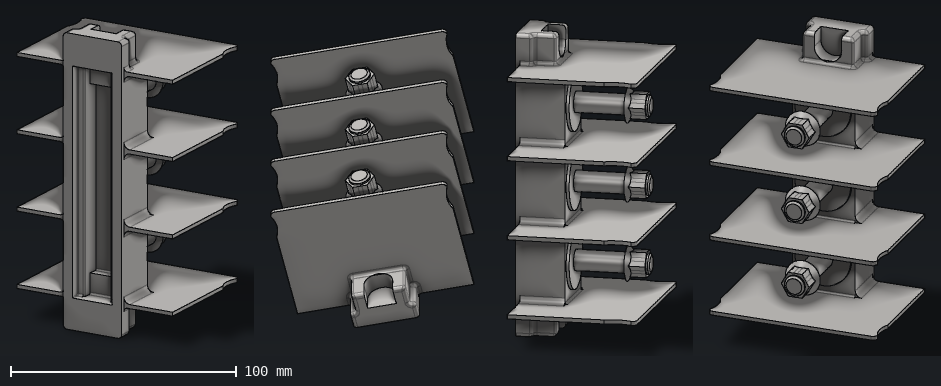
import cadquery as cq
import math


bar_length = 138.2
bar_width = 30.0
body_depth = 22.7
end_round = 2.0

plate_count = 4
plate_span = 108.1
plate_thickness = 2.0
plate_width = 80.0
plate_front = 2.1
plate_rear = 60.8
notch_start = 46.3
waist_y = 52.9
waist_width = 77.1
plate_corner_round = 2.2
side_web_radius = 3.0
rear_web_radius = 1.0
lug_web_radius = 1.8

lug_depth = 17.8
shoulder_y = 6.4
shoulder_radius = 1.4
lug_corner_radius = 1.0
slot_width = 13.0
slot_floor_y = 9.8
slot_center_inset = 6.5

pocket_width = 20.3
pocket_length = plate_span
pocket_depth = 4.4
pocket_end_round = 1.0
pocket_side_round = 0.4
channel_width = 13.0
channel_depth = 8.7
channel_lip_round = 0.8
deep_length = 88.2
deep_depth = 13.5
deep_width = 12.0
deep_round = 0.8

disc_radius = 13.3
disc_thickness = 1.4
shank_radius = 4.8
tip_radius = 3.7
tip_chamfer_y = 57.8
tip_y = 58.5
washer_y = 47.8
washer_radius = 8.3
washer_top_y = 50.2
nut_end_y = 57.0
nut_across_flats = 11.5
nut_collar_radius = 5.8

half_length = bar_length / 2
half_width = bar_width / 2
half_plate = plate_thickness / 2
margin = 0.1
outer_plate_z = plate_span / 2
plate_pitch = plate_span / (plate_count - 1)
plate_heights = [i * plate_pitch - outer_plate_z for i in range(plate_count)]
bolt_heights = [z + plate_pitch / 2 for z in plate_heights[:-1]]
lug_half_width = half_width - 2 * shoulder_radius


def block(width, y_start, y_end, z_start, z_end):
    """Box centred on X between the given Y and Z limits."""
    return (
        cq.Workplane("XY")
        .box(width, y_end - y_start, z_end - z_start, centered=(True, False, False))
        .translate((0, y_start, z_start))
    )


def make_plate(z, front):
    """Barrier plate with a waist near its rear corners, centred on height z."""
    half = plate_width / 2
    corner = plate_corner_round
    head_y = plate_rear - corner
    waist = waist_width / 2
    outline = (
        cq.Workplane("XY")
        .moveTo(-half, front)
        .lineTo(half, front)
        .lineTo(half, notch_start)
        .threePointArc((waist, waist_y), (half, head_y))
        .radiusArc((half - corner, plate_rear), -corner)
        .lineTo(corner - half, plate_rear)
        .radiusArc((-half, head_y), -corner)
        .threePointArc((-waist, waist_y), (-half, notch_start))
        .close()
    )
    return outline.extrude(plate_thickness).translate((0, 0, z - half_plate))


def lug_edges_at(z):
    """Selects the lug contour at height z, except its straight front edge."""
    return cq.selectors.BoxSelector(
        (-half_width - margin, margin, z - margin),
        (half_width + margin, lug_depth + margin, z + margin),
    )


def make_lug():
    """Upper end of the bar with its outer plate, fillets and open slot."""
    r = shoulder_radius
    c = lug_corner_radius
    profile = (
        cq.Workplane("XY")
        .moveTo(-half_width, 0)
        .lineTo(half_width, 0)
        .lineTo(half_width, shoulder_y)
        .radiusArc((half_width - r, shoulder_y + r), -r)
        .radiusArc((lug_half_width, shoulder_y + 2 * r), r)
        .lineTo(lug_half_width, lug_depth - c)
        .radiusArc((lug_half_width - c, lug_depth), -c)
        .lineTo(c - lug_half_width, lug_depth)
        .radiusArc((-lug_half_width, lug_depth - c), -c)
        .lineTo(-lug_half_width, shoulder_y + 2 * r)
        .radiusArc((r - half_width, shoulder_y + r), r)
        .radiusArc((-half_width, shoulder_y), -r)
        .close()
    )
    lug = profile.extrude(half_length - outer_plate_z).translate((0, 0, outer_plate_z))
    plate_top = outer_plate_z + half_plate
    lug = lug.union(make_plate(outer_plate_z, 0))
    lug = lug.edges(lug_edges_at(plate_top)).fillet(lug_web_radius)
    lug = lug.edges(lug_edges_at(half_length)).fillet(end_round)

    strip = block(plate_width, 0, plate_front, outer_plate_z - half_plate, half_length)
    lug = lug.cut(strip.cut(block(bar_width, 0, plate_front, 0, half_length)))

    slot_z = half_length - slot_center_inset
    slot_length = lug_depth - slot_floor_y
    slot_bottom = (
        cq.Workplane("XZ", origin=(0, lug_depth, 0))
        .center(0, slot_z)
        .circle(slot_width / 2)
        .extrude(slot_length)
    )
    slot_mouth = block(slot_width, slot_floor_y, lug_depth, slot_z, half_length)
    return lug.cut(slot_bottom).cut(slot_mouth)


def make_side_web(z, side, direction):
    """Concave fillet strip along Y between a plate face and one side of the bar.

    side is the sign of X; direction is the sign of Z pointing away from the plate.
    """
    face_z = z + direction * half_plate
    r = side_web_radius
    mid_offset = r * (1 - math.sqrt(0.5))
    return (
        cq.Workplane("XZ", origin=(0, body_depth, 0))
        .moveTo(side * half_width, face_z)
        .lineTo(side * (half_width + r), face_z)
        .threePointArc(
            (side * (half_width + mid_offset), face_z + direction * mid_offset),
            (side * half_width, face_z + direction * r),
        )
        .close()
        .extrude(body_depth - plate_front)
    )


def make_rear_web(z, direction):
    """Concave fillet strip along X between a plate face and the bar rear."""
    face_z = z + direction * half_plate
    r = rear_web_radius
    mid_offset = r * (1 - math.sqrt(0.5))
    return (
        cq.Workplane("YZ", origin=(-half_width, 0, 0))
        .moveTo(body_depth, face_z)
        .lineTo(body_depth + r, face_z)
        .threePointArc(
            (body_depth + mid_offset, face_z + direction * mid_offset),
            (body_depth, face_z + direction * r),
        )
        .close()
        .extrude(bar_width)
    )


def make_channel(depth, length):
    """Channel cavity down to depth, with a rounded lip and walls that close in."""
    lip = channel_lip_round
    mouth = channel_width / 2
    lip_y = pocket_depth + lip
    wall_slope = (channel_width - deep_width) / 2 / (deep_depth - lip_y)
    floor = mouth - wall_slope * (depth - lip_y)
    return (
        cq.Workplane("XY", origin=(0, 0, -length / 2))
        .moveTo(-mouth - lip, 0)
        .lineTo(mouth + lip, 0)
        .lineTo(mouth + lip, pocket_depth)
        .radiusArc((mouth, lip_y), lip)
        .lineTo(floor, depth)
        .lineTo(-floor, depth)
        .lineTo(-mouth, lip_y)
        .radiusArc((-mouth - lip, pocket_depth), lip)
        .close()
        .extrude(length)
    )


def make_pocket():
    """Stepped cavity entered from the front: wide pocket, channel, deep trough."""
    half = pocket_length / 2
    pocket = block(pocket_width, 0, pocket_depth, -half, half)
    pocket = pocket.faces(">Y").edges("|X").fillet(pocket_end_round)
    pocket = pocket.faces(">Y").edges("|Z").fillet(pocket_side_round)
    channel = make_channel(channel_depth, pocket_length)
    channel = channel.faces(">Y").edges("|X").fillet(pocket_end_round)
    trough = make_channel(deep_depth, deep_length)
    trough = trough.faces(">Y").edges("|X").fillet(deep_round)
    return pocket.union(channel).union(trough)


def make_bolt(z):
    """Contact disc, shank, conical washer, hexagon nut and chamfered tip."""
    turned = (
        cq.Workplane("XY")
        .moveTo(0, body_depth)
        .lineTo(disc_radius, body_depth)
        .lineTo(disc_radius, body_depth + disc_thickness)
        .lineTo(shank_radius, body_depth + disc_thickness)
        .lineTo(shank_radius, washer_y)
        .lineTo(washer_radius, washer_y)
        .lineTo(nut_collar_radius, washer_top_y)
        .lineTo(nut_collar_radius, nut_end_y)
        .lineTo(shank_radius, nut_end_y)
        .lineTo(shank_radius, tip_chamfer_y)
        .lineTo(tip_radius, tip_y)
        .lineTo(0, tip_y)
        .close()
        .revolve(360, (0, 0, 0), (0, 1, 0))
    )
    nut = (
        cq.Workplane("XZ", origin=(0, nut_end_y, 0))
        .polygon(6, nut_across_flats, circumscribed=True)
        .extrude(nut_end_y - washer_y)
        .rotate((0, 0, 0), (0, 1, 0), 30)
    )
    return turned.union(nut).translate((0, 0, z))


lug = make_lug()
result = block(bar_width, 0, body_depth, -outer_plate_z, outer_plate_z)
result = result.union(lug).union(lug.mirror("XY"))

for z in plate_heights[1:-1]:
    result = result.union(make_plate(z, plate_front))

for lower_z, upper_z in zip(plate_heights[:-1], plate_heights[1:]):
    for z, direction in ((lower_z, 1), (upper_z, -1)):
        result = result.union(make_rear_web(z, direction))
        for side in (-1, 1):
            result = result.union(make_side_web(z, side, direction))

result = result.cut(make_pocket())
for z in bolt_heights:
    result = result.union(make_bolt(z))